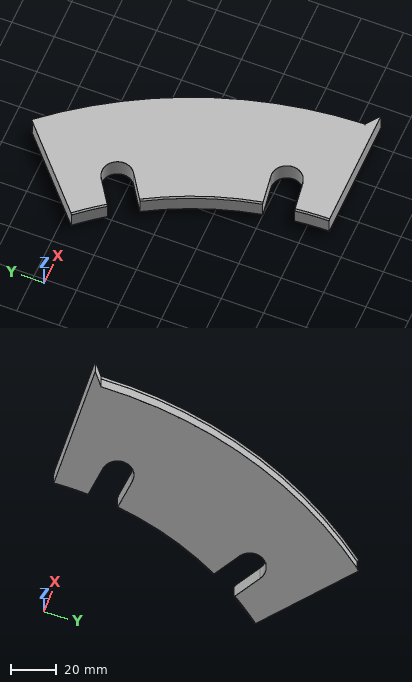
import cadquery as cq
import math

thickness = 9.49
outer_radius = 211.0
inner_radius = 158.0
end_height = 140.24
sweep_angle = math.degrees(math.asin(end_height / outer_radius))

rim_chamfer = 0.7
recess_depth = 0.9

slot_width = 14.3
slot_centre_radius = 172.7
slot_angles = (8.4, 33.1)

overall_width = 99.41
toe_tip_x = inner_radius * math.cos(math.radians(sweep_angle)) + overall_width
toe_height = 4.8


def make_segment():
    """Sweep the rim section about the Z axis."""
    inner_lip = inner_radius + rim_chamfer
    recess_radius = outer_radius - recess_depth
    section = [
        (inner_lip, 0),
        (outer_radius, 0),
        (recess_radius, recess_depth),
        (recess_radius, thickness - recess_depth),
        (outer_radius, thickness),
        (inner_lip, thickness),
        (inner_radius, thickness - rim_chamfer),
        (inner_radius, rim_chamfer),
    ]
    return cq.Workplane("XZ").polyline(section).close().revolve(sweep_angle, (0, 0), (0, 1))


def make_toe():
    """Wedge that widens the first end face beyond the outer rim."""
    root_x = outer_radius - 2 * recess_depth
    foot_x = math.sqrt(outer_radius**2 - toe_height**2)
    outline = [
        (root_x, 0),
        (toe_tip_x, 0),
        (foot_x, toe_height),
        (root_x, toe_height),
    ]
    return cq.Workplane("XY").polyline(outline).close().extrude(thickness)


def make_slot(angle):
    """Round-ended radial slot cutter, running inward past the inner rim."""
    slot_length = slot_centre_radius - inner_radius + slot_width
    straight = cq.Workplane("XY").box(slot_length, slot_width, thickness, centered=(False, True, False))
    straight = straight.translate((slot_centre_radius - slot_length, 0, 0))
    round_end = cq.Workplane("XY").center(slot_centre_radius, 0).circle(slot_width / 2).extrude(thickness)
    return straight.union(round_end).rotate((0, 0, 0), (0, 0, 1), angle)


result = make_segment().union(make_toe())
for slot_angle in slot_angles:
    result = result.cut(make_slot(slot_angle))